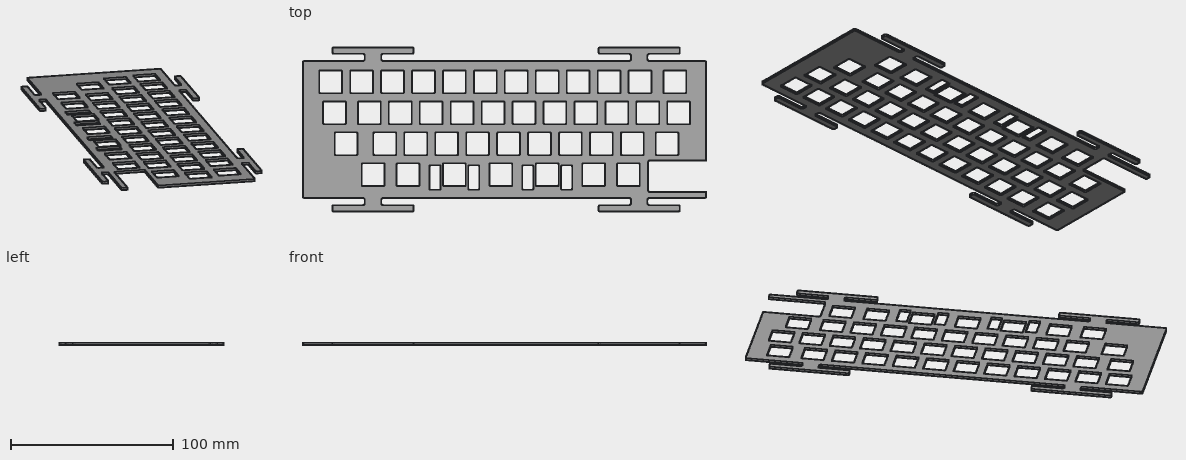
import cadquery as cq

length = 248.0
plate_width = 84.3
overall_width = 101.0
thickness = 1.51
plate_corner_radius = 1.0

arm_length = 50.0
arm_width = 4.0
arm_corner_radius = 1.0
neck_width = 10.2
neck_fillet = 1.2
arm_centers_x = (-80.8, 82.8)

notch_left = 88.3
notch_top = -19.0
finger_width = 3.7
notch_fillet = 1.2

evenly_spaced_keys = 11
evenly_spaced_length = 190.2
key_unit = evenly_spaced_length / (evenly_spaced_keys - 1)
key_size = 14.0
cutout_corner_radius = 0.5
first_key_x = -107.0
first_row_y = 29.3
wide_keys = (4.0, 7.0)
key_rows = (
    [column for column in range(evenly_spaced_keys)] + [11.125],
    [0.125] + [1.25 + column for column in range(evenly_spaced_keys)],
    [0.5] + [1.75 + column for column in range(evenly_spaced_keys - 2)] + [10.875],
    [1.375, 2.5, wide_keys[0], 5.5, wide_keys[1], 8.5, 9.625],
)

slot_width = 6.7
slot_height = 15.0
slot_offset_x = 12.0
slot_offset_y = -1.7


def key_x(column):
    return first_key_x + column * key_unit


def row_y(row):
    return first_row_y - row * key_unit


def block(size_x, size_y, x, y):
    """Full-thickness rectangular block centred at (x, y), resting on Z = 0."""
    body = cq.Workplane("XY").box(size_x, size_y, thickness, centered=(True, True, False))
    return body.translate((x, y, 0))


def rounded_block(size_x, size_y, x, y, radius):
    """Block with its four upright edges rounded."""
    return block(size_x, size_y, x, y).edges("|Z").fillet(radius)


def add_arm(body, x, side):
    """Join a T-shaped arm; side is +1 for the +Y edge and -1 for the -Y edge."""
    gap = (overall_width - plate_width) / 2 - arm_width
    neck_y = side * (plate_width + gap) / 2
    bar_y = side * (overall_width - arm_width) / 2
    bar = rounded_block(arm_length, arm_width, x, bar_y, arm_corner_radius)
    neck = block(neck_width, gap, x, neck_y)
    body = body.union(neck.union(bar))

    margin = 0.2
    reach_x = neck_width / 2 + margin
    reach_y = gap / 2 + margin
    neck_region = cq.selectors.BoxSelector(
        (x - reach_x, neck_y - reach_y, 0),
        (x + reach_x, neck_y + reach_y, thickness),
    )
    return body.edges("|Z").edges(neck_region).fillet(neck_fillet)


def cut_end_notch(body):
    """Cut the notch; the cutter runs past the plate end so only its inner corners are round."""
    notch_bottom = finger_width - plate_width / 2
    cutter_length = 2 * (length / 2 - notch_left)
    cutter = rounded_block(
        cutter_length,
        notch_top - notch_bottom,
        notch_left + cutter_length / 2,
        (notch_top + notch_bottom) / 2,
        notch_fillet,
    )
    return body.cut(cutter)


def cut_keys(body):
    for row, columns in enumerate(key_rows):
        for column in columns:
            key = rounded_block(key_size, key_size, key_x(column), row_y(row), cutout_corner_radius)
            body = body.cut(key)
    return body


def cut_stabilizer_slots(body):
    last_row = len(key_rows) - 1
    y = row_y(last_row) + slot_offset_y
    for column in wide_keys:
        for side in (-1, 1):
            x = key_x(column) + side * slot_offset_x
            body = body.cut(rounded_block(slot_width, slot_height, x, y, cutout_corner_radius))
    return body


plate = rounded_block(length, plate_width, 0, 0, plate_corner_radius)
for arm_x in arm_centers_x:
    for arm_side in (1, -1):
        plate = add_arm(plate, arm_x, arm_side)
plate = cut_end_notch(plate)
plate = cut_keys(plate)
result = cut_stabilizer_slots(plate)